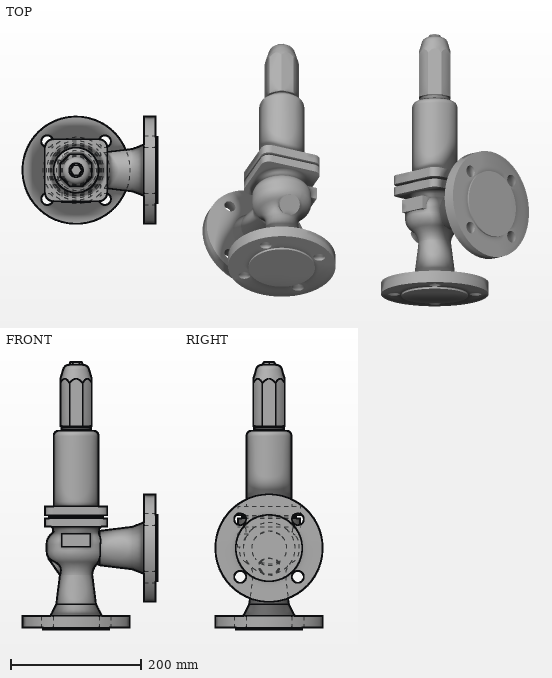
import cadquery as cq
import math

flange_dia = 165.0
flange_thickness = 18.0
face_dia = 102.0
face_height = 3.0
bolt_circle_dia = 125.0
bolt_hole_dia = 18.0
bolt_count = 4
flange_back = face_height + flange_thickness
outlet_reach = 125.0
outlet_height = 125.0

hub_radius = 39.5
hub_length = 17.5
inlet_hub_neck_radius = 30.7
inlet_throat_radius = 25.0
outlet_hub_neck_radius = 32.8
outlet_throat_radius = 26.6
outlet_throat_x = 36.0

bowl_radius = 45.5
bowl_round = 20.0
bowl_band_bottom = 120.7
bowl_band_top = 131.0
bowl_to_throat_angle = math.radians(32)
bowl_to_collar_angle = math.radians(37)
collar_fillet = 5.0

plate_side = 95.6
plate_corner_radius = 13.0
body_plate_bottom = 158.0
body_plate_thickness = 12.6
plate_gap = 4.4
bonnet_plate_thickness = 14.0
gasket_radius = 42.0
spigot_radius = 38.0
body_plate_top = body_plate_bottom + body_plate_thickness
bonnet_plate_bottom = body_plate_top + plate_gap
bonnet_plate_top = bonnet_plate_bottom + bonnet_plate_thickness

bonnet_radius = 34.6
bonnet_top = 305.2
bonnet_fillet = 8.0
stem_radius = 21.5
ring_radius = 23.2
ring_bottom = 307.0
ring_top = 310.2

cap_width = 48.6
cap_sides = 8
cap_bottom = 312.0
cap_cone_bottom = 378.0
cap_cone_top = 398.4
dome_base_radius = 20.2
dome_top = 406.2
dome_round = 9.6
tip_base_radius = 10.7
tip_sides = 6
tip_top_width = 15.0
overall_height = 410.7

boss_dia = 32.0
boss_length = 28.0
boss_tilt = math.radians(35)
boss_face_x = -33.7
boss_face_z = 96.3
label_width = 44.0
label_height = 20.0
label_bottom = 127.0
label_front_y = -49.0


def cylinder(radius, bottom, top):
    return cq.Workplane("XY").workplane(offset=bottom).circle(radius).extrude(top - bottom)


def across_corners(width, sides):
    return width / math.cos(math.pi / sides)


def flange():
    """Flange with its raised face at Z = 0 and its back facing +Z."""
    disc = cylinder(flange_dia / 2, face_height, flange_back)
    raised_face = cylinder(face_dia / 2, 0, face_height)
    bolt_holes = (
        cq.Workplane("XY")
        .polarArray(bolt_circle_dia / 2, 180 / bolt_count, 360, bolt_count)
        .circle(bolt_hole_dia / 2)
        .extrude(flange_back)
    )
    return disc.union(raised_face).cut(bolt_holes)


def inlet_and_bowl():
    """Inlet neck, bowl and collar below the body plate, as one revolved outline."""
    hub_top = flange_back + hub_length
    round_center_r = bowl_radius - bowl_round
    bowl_low = (
        round_center_r + bowl_round * math.sin(bowl_to_throat_angle),
        bowl_band_bottom - bowl_round * math.cos(bowl_to_throat_angle),
    )
    throat_fillet = (bowl_low[0] - inlet_throat_radius) / (1 - math.sin(bowl_to_throat_angle))
    throat_top = bowl_low[1] - throat_fillet * math.cos(bowl_to_throat_angle)
    bowl_high = (
        round_center_r + bowl_round * math.sin(bowl_to_collar_angle),
        bowl_band_top + bowl_round * math.cos(bowl_to_collar_angle),
    )
    collar_radius = bowl_high[0] - collar_fillet * (1 - math.sin(bowl_to_collar_angle))
    collar_bottom = bowl_high[1] + collar_fillet * math.cos(bowl_to_collar_angle)
    collar_top = body_plate_bottom - collar_fillet
    return (
        cq.Workplane("XZ")
        .moveTo(0, flange_back)
        .lineTo(hub_radius, flange_back)
        .lineTo(inlet_hub_neck_radius, hub_top)
        .lineTo(inlet_throat_radius, throat_top)
        .radiusArc(bowl_low, throat_fillet)
        .radiusArc((bowl_radius, bowl_band_bottom), -bowl_round)
        .lineTo(bowl_radius, bowl_band_top)
        .radiusArc(bowl_high, -bowl_round)
        .radiusArc((collar_radius, collar_bottom), collar_fillet)
        .lineTo(collar_radius, collar_top)
        .radiusArc((collar_radius + collar_fillet, body_plate_bottom), collar_fillet)
        .lineTo(0, body_plate_bottom)
        .close()
        .revolve(360, (0, 0), (0, 1))
    )


def outlet():
    """Outlet neck and flange, built along Z from the outlet face, then laid along +X."""
    hub_end = flange_back + hub_length
    throat_end = outlet_reach - outlet_throat_x
    neck = (
        cq.Workplane("XZ")
        .moveTo(0, flange_back)
        .lineTo(hub_radius, flange_back)
        .lineTo(outlet_hub_neck_radius, hub_end)
        .lineTo(outlet_throat_radius, throat_end)
        .lineTo(0, outlet_reach)
        .close()
        .revolve(360, (0, 0), (0, 1))
    )
    return (
        flange()
        .union(neck)
        .rotate((0, 0, 0), (0, 1, 0), -90)
        .translate((outlet_reach, 0, outlet_height))
    )


def square_plate(bottom, thickness):
    return (
        cq.Workplane("XY")
        .workplane(offset=bottom)
        .rect(plate_side, plate_side)
        .extrude(thickness)
        .edges("|Z")
        .fillet(plate_corner_radius)
    )


def plates():
    gap_middle = body_plate_top + plate_gap / 2
    return (
        square_plate(body_plate_bottom, body_plate_thickness)
        .union(cylinder(gasket_radius, body_plate_top, gap_middle))
        .union(cylinder(spigot_radius, gap_middle, bonnet_plate_bottom))
        .union(square_plate(bonnet_plate_bottom, bonnet_plate_thickness))
    )


def bonnet():
    barrel = cylinder(bonnet_radius, bonnet_plate_top, bonnet_top)
    barrel = barrel.faces(">Z").edges().fillet(bonnet_fillet)
    stem = cylinder(stem_radius, bonnet_top, cap_bottom)
    ring = cylinder(ring_radius, ring_bottom, ring_top)
    return barrel.union(stem).union(ring)


def cap():
    """Octagonal prism trimmed by a cone and a rounded top."""
    corner_dia = across_corners(cap_width, cap_sides)
    prism = (
        cq.Workplane("XY")
        .workplane(offset=cap_bottom)
        .polygon(cap_sides, corner_dia)
        .extrude(dome_top - cap_bottom)
        .rotate((0, 0, 0), (0, 0, 1), 180 / cap_sides)
    )
    envelope = (
        cq.Workplane("XZ")
        .moveTo(0, cap_bottom)
        .lineTo(corner_dia / 2, cap_bottom)
        .lineTo(corner_dia / 2, cap_cone_bottom)
        .lineTo(dome_base_radius, cap_cone_top)
        .radiusArc((tip_base_radius, dome_top), -dome_round)
        .lineTo(0, dome_top)
        .close()
        .revolve(360, (0, 0), (0, 1))
    )
    return prism.intersect(envelope)


def tip():
    """Blend from a round base to a hexagonal top with corners along X."""
    return (
        cq.Workplane("XY")
        .workplane(offset=dome_top)
        .circle(tip_base_radius)
        .workplane(offset=overall_height - dome_top)
        .polygon(tip_sides, across_corners(tip_top_width, tip_sides))
        .loft(ruled=True)
    )


def boss():
    """Inclined round boss running from its flat face into the bowl."""
    face_plane = cq.Plane(
        origin=(boss_face_x, 0, boss_face_z),
        xDir=(0, 1, 0),
        normal=(math.cos(boss_tilt), 0, math.sin(boss_tilt)),
    )
    return cq.Workplane(face_plane).circle(boss_dia / 2).extrude(boss_length)


def label_pad():
    """Flat pad from the valve axis out to its face, mostly buried in the bowl."""
    return (
        cq.Workplane("XY")
        .workplane(offset=label_bottom)
        .center(0, label_front_y / 2)
        .rect(label_width, -label_front_y)
        .extrude(label_height)
    )


result = flange()
for feature in (inlet_and_bowl, outlet, plates, bonnet, cap, tip, boss, label_pad):
    result = result.union(feature())